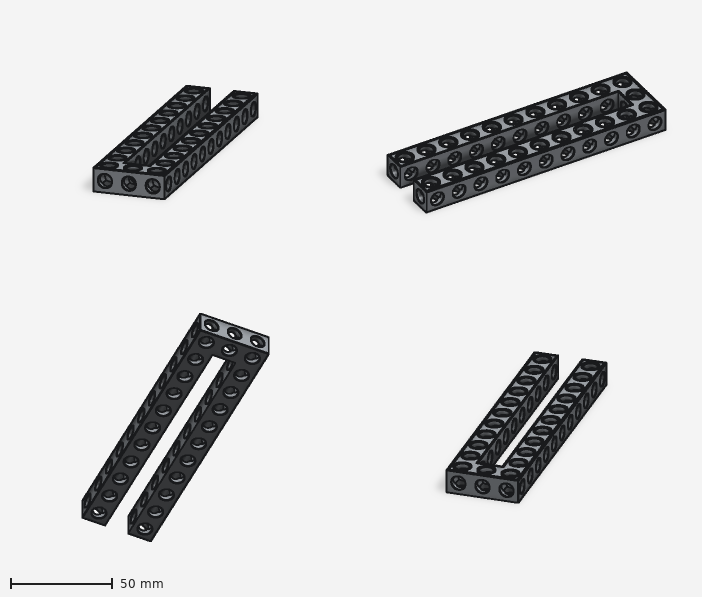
import cadquery as cq

length = 137.5
rows = 11
columns = 3
pitch = length / rows
width = columns * pitch
height = pitch

bevel = 0.3
hole_diameter = 7.0
collar_diameter = 9.2
border = 0.8
panel_depth = 0.07

column_xs = [(i - (columns - 1) / 2) * pitch for i in range(columns)]
row_ys = [(i - (rows - 1) / 2) * pitch for i in range(rows)]
leg_xs = [column_xs[0], column_xs[-1]]
end_y = row_ys[0]
vertical_holes = [(x, y) for x in leg_xs for y in row_ys] + [(0, end_y)]


def bevelled_bar():
    """Full bar with every edge bevelled except those of the square +Y end."""
    bar = cq.Workplane("XY").box(width, length, height)
    return bar.edges("|Y or <Y").chamfer(bevel)


def slot_cutter(margin, depth):
    """Slot one pitch wide, open at +Y, widened by a margin and cut down from the top face."""
    closed_end = -length / 2 + pitch - margin
    slot_length = length / 2 - closed_end
    return (
        cq.Workplane("XY")
        .box(pitch + 2 * margin, slot_length, depth, centered=(True, False, False))
        .translate((0, closed_end, height / 2 - depth))
    )


def panel_cutter():
    """Shallow recess that follows the top face and leaves the border and collars standing."""
    side_margin = bevel + border
    panel_width = width - 2 * side_margin
    panel_length = length - side_margin - border
    panel = (
        cq.Workplane("XY")
        .box(panel_width, panel_length, panel_depth, centered=(True, False, False))
        .translate((0, -length / 2 + side_margin, height / 2 - panel_depth))
    )
    collars = (
        cq.Workplane("XY", origin=(0, 0, height / 2 - panel_depth))
        .pushPoints(vertical_holes)
        .circle(collar_diameter / 2)
        .extrude(panel_depth)
    )
    return panel.cut(slot_cutter(border, panel_depth)).cut(collars)


def hole_cutter(span):
    """Round cutter along Z, centred on the origin, with a bevelled mouth at both ends."""
    radius = hole_diameter / 2
    mouth = radius + bevel
    end = span / 2
    profile = [
        (0, -end),
        (mouth, -end),
        (radius, bevel - end),
        (radius, end - bevel),
        (mouth, end),
        (0, end),
    ]
    return cq.Workplane("XZ").polyline(profile).close().revolve(360, (0, 0, 0), (0, 1, 0))


def hole_along_x(span):
    return hole_cutter(span).rotate((0, 0, 0), (0, 1, 0), 90)


def hole_along_y(span):
    return hole_cutter(span).rotate((0, 0, 0), (1, 0, 0), 90)


body = bevelled_bar().cut(slot_cutter(0, height)).cut(panel_cutter())

for x, y in vertical_holes:
    body = body.cut(hole_cutter(height).translate((x, y, 0)))

body = body.cut(hole_along_x(width).translate((0, end_y, 0)))
for x in leg_xs:
    for y in row_ys[1:]:
        body = body.cut(hole_along_x(pitch).translate((x, y, 0)))

for x in leg_xs:
    body = body.cut(hole_along_y(length).translate((x, 0, 0)))
body = body.cut(hole_along_y(pitch).translate((0, end_y, 0)))

result = body